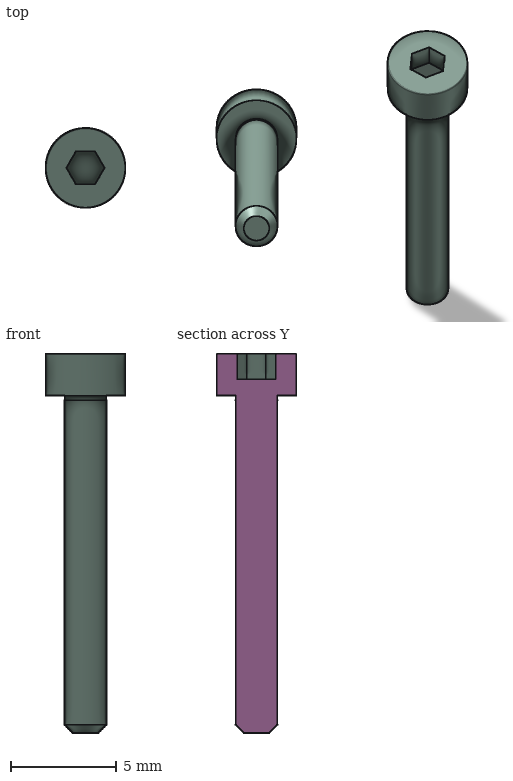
import cadquery as cq
import math

total_length = 18
head_diameter = 3.8
head_height = 2.0
rim_fillet = 0.04
shank_diameter = 2.0
neck_diameter = 1.98
neck_height = 0.22
tip_chamfer = 0.4
socket_flats = 1.57
socket_depth = 1.2

shank_length = total_length - head_height
shank_radius = shank_diameter / 2
neck_radius = neck_diameter / 2
head_radius = head_diameter / 2

body = (
    cq.Workplane("XZ")
    .moveTo(0, 0)
    .lineTo(shank_radius - tip_chamfer, 0)
    .lineTo(shank_radius, tip_chamfer)
    .lineTo(shank_radius, shank_length - neck_height)
    .lineTo(neck_radius, shank_length - neck_height)
    .lineTo(neck_radius, shank_length)
    .lineTo(head_radius, shank_length)
    .lineTo(head_radius, total_length - rim_fillet)
    .radiusArc((head_radius - rim_fillet, total_length), -rim_fillet)
    .lineTo(0, total_length)
    .close()
    .revolve(360, (0, 0, 0), (0, 1, 0))
)

socket_corners = socket_flats / math.cos(math.radians(30))
socket = (
    cq.Workplane("XY")
    .workplane(offset=total_length - socket_depth)
    .polygon(6, socket_corners)
    .extrude(socket_depth)
)

result = body.cut(socket)